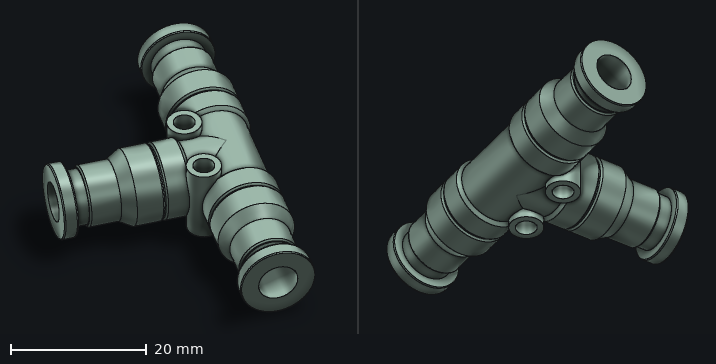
import cadquery as cq

arm_length = 26.6
bore_diameter = 6.0
body_diameter = 10.65
band_diameter = 11.8
sleeve_diameter = 9.4
neck_diameter = 8.5
collar_diameter = 11.5

body_end = 6.65
band_start = 7.2
groove_center = 11.0
groove_half_width = 0.35
groove_depth = 0.3
groove_floor_half_width = 0.1
band_end = 15.45
sleeve_start = 17.5
sleeve_end = 22.35
sleeve_chamfer = 0.25
collar_start = 24.4
collar_chamfer = 0.2
collar_chamfer_depth = 0.1
bore_floor = groove_center

tube_diameter = 5.2
tube_hole_diameter = 3.2
tube_offset_x = 5.0
tube_offset_y = 4.95
tube_height = band_diameter


def make_arm_outer():
    """Outer shape of one arm, revolved about the X axis and pointing to +X."""
    body_radius = body_diameter / 2
    band_radius = band_diameter / 2
    groove_radius = band_radius - groove_depth
    sleeve_radius = sleeve_diameter / 2
    neck_radius = neck_diameter / 2
    collar_radius = collar_diameter / 2
    collar_edge_radius = collar_radius - collar_chamfer_depth
    outline = [
        (body_end, 0),
        (body_end, body_radius),
        (band_start, band_radius),
        (groove_center - groove_half_width, band_radius),
        (groove_center - groove_floor_half_width, groove_radius),
        (groove_center + groove_floor_half_width, groove_radius),
        (groove_center + groove_half_width, band_radius),
        (band_end, band_radius),
        (sleeve_start, sleeve_radius),
        (sleeve_end - sleeve_chamfer, sleeve_radius),
        (sleeve_end, sleeve_radius - sleeve_chamfer),
        (sleeve_end, neck_radius),
        (collar_start, neck_radius),
        (collar_start, collar_edge_radius),
        (collar_start + collar_chamfer, collar_radius),
        (arm_length - collar_chamfer, collar_radius),
        (arm_length, collar_edge_radius),
        (arm_length, 0),
    ]
    return cq.Workplane("XY").polyline(outline).close().revolve(360, (0, 0), (1, 0))


def make_bore():
    """Blind tube socket in the end of the arm pointing to +X."""
    return (
        cq.Workplane("YZ")
        .workplane(offset=bore_floor)
        .circle(bore_diameter / 2)
        .extrude(arm_length - bore_floor)
    )


def make_tube_cylinders(diameter):
    """Pair of vertical cylinders on the mounting tube axes."""
    return (
        cq.Workplane("XY")
        .workplane(offset=-tube_height / 2)
        .pushPoints([(-tube_offset_x, -tube_offset_y), (tube_offset_x, -tube_offset_y)])
        .circle(diameter / 2)
        .extrude(tube_height)
    )


def turn(shape, angle):
    return shape.rotate((0, 0, 0), (0, 0, 1), angle)


run = cq.Workplane("YZ").circle(body_diameter / 2).extrude(body_end, both=True)
branch = cq.Workplane("XZ").circle(body_diameter / 2).extrude(body_end)
result = run.union(branch)

arm_angles = (0, 180, -90)
for arm_angle in arm_angles:
    result = result.union(turn(make_arm_outer(), arm_angle))

result = result.union(make_tube_cylinders(tube_diameter))
result = result.cut(make_tube_cylinders(tube_hole_diameter))

for arm_angle in arm_angles:
    result = result.cut(turn(make_bore(), arm_angle))